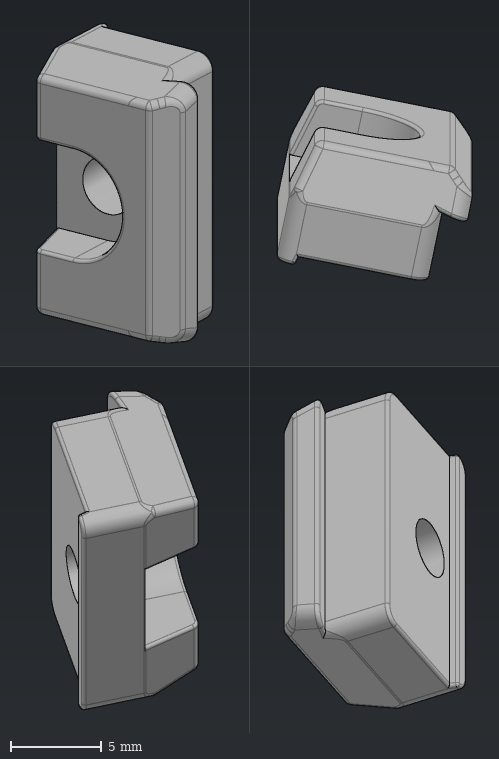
import cadquery as cq
import math

height = 16.0
width = 10.0
depth = 7.0

slope = math.tan(math.radians(15))
taper_start = 3.4
taper_inset = taper_start * slope
block_width = 8.51
back_y = 6.53
hidden_bevel = 1.28

lip_tip_width = 1.02
lip_root_y = 4.8

wing_root_x = 4.8
wing_tip_y = 2.96
wing_root_y = wing_tip_y - (width - wing_root_x) * slope
wing_chamfer = 1.4

corner_radius = 1.0
front_radius = 0.5
small_radius = 0.2

seat_x = 3.49
seat_radius = 3.26
hole_diameter = 3.4

TOLERANCE = 0.002


def make_prism(points):
    """Extrude an XY outline over the full height."""
    return cq.Workplane("XY").polyline(points).close().extrude(height)


def taper_ends(body):
    """Narrow the front half of both ends."""
    envelope = (
        cq.Workplane("YZ")
        .polyline([
            (0, taper_inset),
            (taper_start, 0),
            (depth, 0),
            (depth, height),
            (taper_start, height),
            (0, height - taper_inset),
        ])
        .close()
        .extrude(width)
    )
    return body.intersect(envelope)


def fillet_where(body, test, radius):
    """Round the edges whose centre passes the test."""
    edges = [edge for edge in body.edges().vals() if test(edge.Center())]
    return body.newObject(edges).fillet(radius)


def is_near_end(center):
    """True for places on the end faces, straight or tapered."""
    return min(center.z, height - center.z) < taper_inset + TOLERANCE


def make_block():
    """Main block with a sloped lower left side and a straight right wall."""
    block = make_prism([
        (taper_inset, 0),
        (block_width - hidden_bevel, 0),
        (block_width, hidden_bevel),
        (block_width, back_y),
        (0, back_y),
        (0, taper_start),
    ])
    block = block.edges("|Y and >X").fillet(corner_radius)
    block = taper_ends(block)
    block = block.edges("|Y and <X").fillet(corner_radius)

    def is_front_rim(c):
        on_front = c.y < TOLERANCE and c.x < block_width - hidden_bevel - TOLERANCE
        on_slope = is_near_end(c) and c.x < taper_inset and TOLERANCE < c.y < taper_start - 0.16
        return on_front or on_slope

    block = fillet_where(block, is_front_rim, front_radius)

    def is_back_rim(c):
        return c.y > back_y - TOLERANCE and c.x > corner_radius

    return fillet_where(block, is_back_rim, small_radius)


def make_lip():
    """Ridge rising above the back face, with a sloped inner side."""
    lip = make_prism([
        (0, lip_root_y),
        (lip_tip_width + (depth - lip_root_y) * slope, lip_root_y),
        (lip_tip_width, depth),
        (0, depth),
    ])
    lip = lip.edges("|Y and <X").fillet(corner_radius)

    def is_back_rim(c):
        on_inner_side = c.x > lip_tip_width + TOLERANCE and c.y > lip_root_y + TOLERANCE
        return c.y > depth - TOLERANCE or on_inner_side

    return fillet_where(lip, is_back_rim, small_radius)


def make_wing():
    """Wing beyond the right wall, with a sloped back and a bevelled front."""
    wing = make_prism([
        (wing_root_x, 0),
        (width - wing_chamfer, 0),
        (width, wing_chamfer),
        (width, wing_tip_y),
        (wing_root_x, wing_root_y),
    ])
    wing = taper_ends(wing)

    def is_tip_corner(c):
        return c.x > width - TOLERANCE and wing_chamfer < c.y < wing_tip_y and is_near_end(c)

    def is_front_rim(c):
        return c.x > wing_root_x + TOLERANCE and c.y < wing_chamfer + TOLERANCE

    def is_back_rim(c):
        slope_y = wing_tip_y - (width - c.x) * slope
        return c.x > wing_root_x + TOLERANCE and abs(c.y - slope_y) < TOLERANCE

    wing = fillet_where(wing, is_tip_corner, corner_radius)
    wing = fillet_where(wing, is_back_rim, small_radius)
    return fillet_where(wing, is_front_rim, front_radius)


def make_seat_cut():
    """Slot open toward -X with a round end at the screw axis."""
    return (
        cq.Workplane("XZ", origin=(seat_x, 0, height / 2))
        .moveTo(-seat_x, -seat_radius)
        .lineTo(0, -seat_radius)
        .threePointArc((seat_radius, 0), (0, seat_radius))
        .lineTo(-seat_x, seat_radius)
        .close()
        .extrude(-taper_start)
    )


def is_seat_mouth(c):
    """Edges where the seat wall meets the front face and the left slope."""
    z_offset = abs(c.z - height / 2)
    on_front = c.y < TOLERANCE and c.x < seat_x + seat_radius + TOLERANCE
    on_left = c.x < taper_inset + front_radius and c.y < taper_start - 0.16
    return z_offset < seat_radius + TOLERANCE and (on_front or on_left)


screw_hole = (
    cq.Workplane("XZ", origin=(seat_x, 0, height / 2))
    .circle(hole_diameter / 2)
    .extrude(-depth)
)

result = make_block().union(make_lip()).union(make_wing()).cut(make_seat_cut())
result = fillet_where(result, is_seat_mouth, small_radius)
result = result.cut(screw_hole).clean()